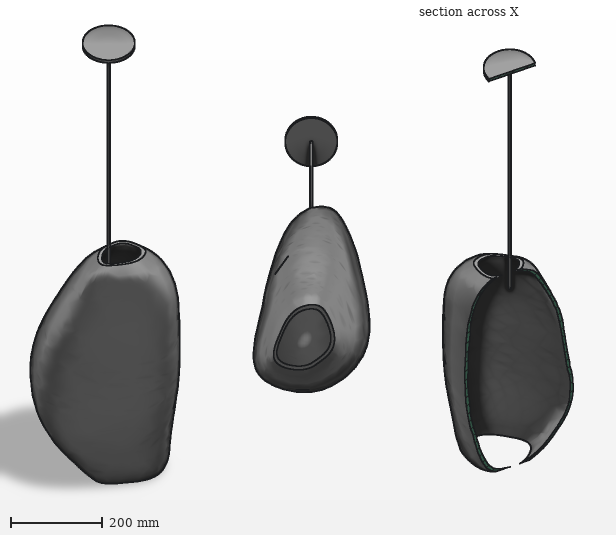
import cadquery as cq

TOTAL_HEIGHT = 1223
CANOPY_DIAMETER = 115.0
CANOPY_THICKNESS = 9.0
CORD_DIAMETER = 6.0
SHADE_HEIGHT = 602.0
CORD_DEPTH_IN_SHADE = 61
SHADE_WALL = 9.0

SHADE_LEVELS = [
    (0, -21.0, 115.0, -73.0, 80.0),
    (46.0, -62.0, 127.0, -104.0, 89.0),
    (105.0, -103.0, 131.0, -136.0, 99.0),
    (197.0, -154.0, 141.0, -157.0, 113.0),
    (270.0, -169.0, 144.0, -149.0, 119.0),
    (400.0, -136.0, 140.0, -127.0, 120.0),
    (506.0, -90.0, 125.0, -92.0, 114.0),
    (583.0, -40.0, 85.0, -59.0, 85.0),
    (SHADE_HEIGHT, -22.0, 62.0, -37.0, 66.0),
]

EGG_POINTS = [
    (-1, -0.1),
    (-0.81, -0.65),
    (-0.27, -1),
    (0.46, -0.55),
    (1, 0.53),
    (0.76, 0.93),
    (0.27, 1),
    (-0.78, 0.6),
]


def egg_section(level, inset):
    """Closed curve that fits the egg shape to one level, moved inward by inset."""
    height, west, east, south, north = level
    center_x = (west + east) / 2
    center_y = (south + north) / 2
    half_x = (east - west) / 2 - inset
    half_y = (north - south) / 2 - inset
    points = [cq.Vector(center_x + half_x * u, center_y + half_y * v, height) for u, v in EGG_POINTS]
    return cq.Wire.assembleEdges([cq.Edge.makeSpline(points, periodic=True)])


def egg_solid(inset):
    """Smooth solid through the sections of all levels."""
    return cq.Solid.makeLoft([egg_section(level, inset) for level in SHADE_LEVELS])


def make_shade():
    """Thin shell, open at the top and at the bottom."""
    return cq.Workplane(egg_solid(0)).cut(cq.Workplane(egg_solid(SHADE_WALL)))


def make_canopy():
    """Round ceiling plate."""
    return (
        cq.Workplane("XY", origin=(0, 0, TOTAL_HEIGHT - CANOPY_THICKNESS))
        .circle(CANOPY_DIAMETER / 2)
        .extrude(CANOPY_THICKNESS)
    )


def make_cord():
    """Straight cord from the underside of the canopy into the mouth of the shade."""
    bottom = SHADE_HEIGHT - CORD_DEPTH_IN_SHADE
    top = TOTAL_HEIGHT - CANOPY_THICKNESS
    return cq.Workplane("XY", origin=(0, 0, bottom)).circle(CORD_DIAMETER / 2).extrude(top - bottom)


canopy = make_canopy()
cord = make_cord()
shade = make_shade()

result = cq.Compound.makeCompound([canopy.val(), cord.val(), *shade.solids().vals()])